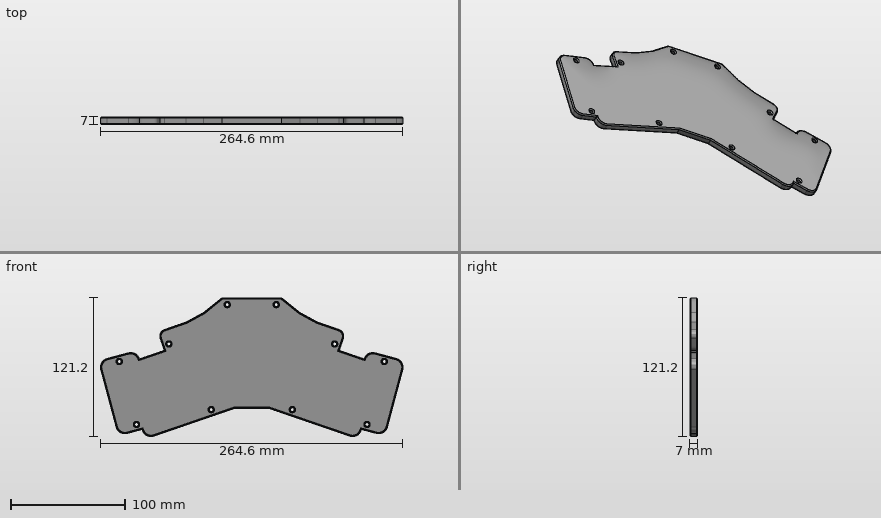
import cadquery as cq
import math

HALF_LENGTH = 132.3
THICKNESS = 7.0
TOP_Z = 60.5
EDGE_CHAMFER = 1.0

TOP_HALF_WIDTH = 26.2
UPPER_BEND = (42.0, 47.77)
LOWER_BEND = (57.5, 39.5)
SHOULDER_RADIUS = 6.0
WING_TILT = 19.0
STEP_CORNER = (76.5, 14.7)
WING_TOE_CENTER = (88.0, -52.7)
WING_TOE_RADIUS = 8.0
BOTTOM_Z = -36.0

PADDLE_TILT = 15.0
PADDLE_WIDTH = 35.0
PADDLE_LENGTH = 67.7
PADDLE_RADIUS = 8.0
PADDLE_CORNER_Z = 5.5

HOLE_DIAMETER = 3.5
HOLE_CHAMFER = 1.0
HOLES = [(21.5, 54.8), (72.5, 20.5), (116.0, 5.0), (35.5, -37.0), (100.8, -50.0)]


def along(point, direction, distance):
    """Point reached by moving a distance along a unit direction."""
    return (point[0] + distance * direction[0], point[1] + distance * direction[1])


def crossing(point, direction, other_point, other_direction):
    """Intersection of two lines, each given by a point and a unit direction."""
    dx = other_point[0] - point[0]
    dz = other_point[1] - point[1]
    determinant = direction[0] * other_direction[1] - direction[1] * other_direction[0]
    distance = (dx * other_direction[1] - dz * other_direction[0]) / determinant
    return along(point, direction, distance)


def centered_prism(points):
    """Closed XZ outline extruded to the plate thickness, centred on Y = 0."""
    return cq.Workplane("XZ").polyline(points).close().extrude(THICKNESS / 2, both=True)


def fillet_corner(solid, corner, radius):
    """Round the thickness-wise edge that stands on the given XZ corner."""
    reach = 0.13
    x, z = corner
    box = cq.selectors.BoxSelector(
        (x - reach, -THICKNESS, z - reach), (x + reach, THICKNESS, z + reach)
    )
    return solid.edges("|Y").edges(box).fillet(radius)


def half_body():
    tilt = math.radians(WING_TILT)
    outward = (math.cos(tilt), -math.sin(tilt))
    upward = (math.sin(tilt), math.cos(tilt))

    shoulder = crossing(LOWER_BEND, outward, STEP_CORNER, upward)
    toe_side = along(WING_TOE_CENTER, outward, WING_TOE_RADIUS)
    toe = along(toe_side, upward, -WING_TOE_RADIUS)
    wing_top = crossing(STEP_CORNER, outward, toe, upward)
    bottom_bend = crossing((0, BOTTOM_Z), (1, 0), toe, outward)

    body = centered_prism([
        (0, TOP_Z),
        (TOP_HALF_WIDTH, TOP_Z),
        UPPER_BEND,
        LOWER_BEND,
        shoulder,
        STEP_CORNER,
        wing_top,
        toe,
        bottom_bend,
        (0, BOTTOM_Z),
    ])
    body = fillet_corner(body, shoulder, SHOULDER_RADIUS)
    return fillet_corner(body, toe, WING_TOE_RADIUS)


def paddle():
    tilt = math.radians(PADDLE_TILT)
    corner_overhang = PADDLE_RADIUS * (math.cos(tilt) + math.sin(tilt) - 1)
    corner_x = HALF_LENGTH + corner_overhang
    return (
        cq.Workplane("XY")
        .box(PADDLE_WIDTH, THICKNESS, PADDLE_LENGTH)
        .edges("|Y")
        .fillet(PADDLE_RADIUS)
        .translate((-PADDLE_WIDTH / 2, 0, -PADDLE_LENGTH / 2))
        .rotate((0, 0, 0), (0, 1, 0), PADDLE_TILT)
        .translate((corner_x, 0, PADDLE_CORNER_Z))
    )


def screw_hole(x, z):
    """Cutter for one through hole with a chamfer at both faces."""
    radius = HOLE_DIAMETER / 2
    mouth = radius + HOLE_CHAMFER
    face = THICKNESS / 2
    profile = [
        (0, -face),
        (mouth, -face),
        (radius, HOLE_CHAMFER - face),
        (radius, face - HOLE_CHAMFER),
        (mouth, face),
        (0, face),
    ]
    cutter = cq.Workplane("XY").polyline(profile).close().revolve(360, (0, 0, 0), (0, 1, 0))
    return cutter.translate((x, 0, z))


half_plate = half_body().union(paddle())
plate = half_plate.union(half_plate.mirror("YZ")).clean()
plate = plate.faces("<Y or >Y").chamfer(EDGE_CHAMFER)

for hole_x, hole_z in HOLES:
    for side in (-1, 1):
        plate = plate.cut(screw_hole(side * hole_x, hole_z))

result = plate